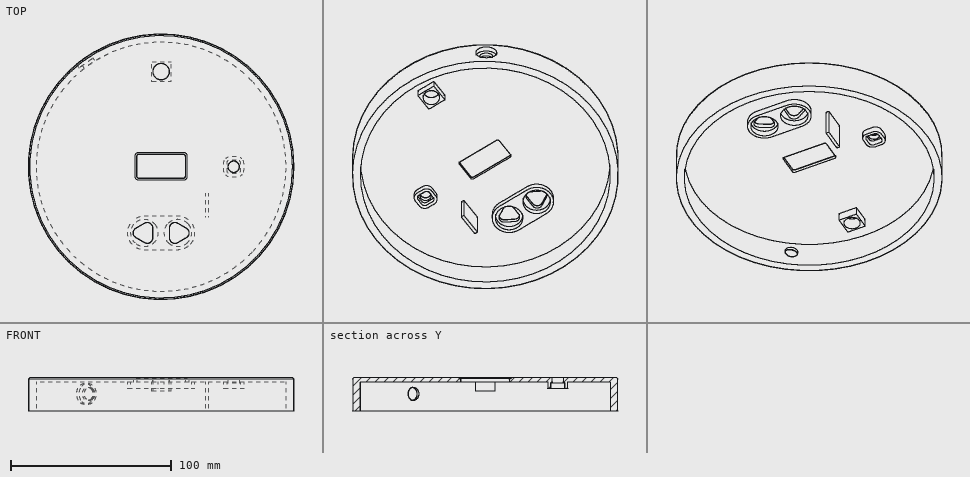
import cadquery as cq
import math

diameter = 165.0
height = 21.0
plate_thickness = 3.0
rim_thickness = 5.0
top_chamfer = 1.0
plate_underside = height - plate_thickness

boss_wall = 2.0

window_length = 30.0
window_width = 14.8
window_y = 0.3
window_corner_radius = 1.24
ledge_width = 1.2
ledge_depth = 0.7
ledge_corner_radius = 2.1

large_hole_diameter = 10.0
large_hole_y = 59.0
large_boss_side = 12.0
large_boss_bottom = 12.4

small_hole_diameter = 7.0
small_hole_x = 45.0
small_hole_depth = 3.5
small_recess_side = 8.5
small_boss_height = 4.0
small_recess_corner_radius = 2.1

triangle_corner_radius = 3.3
triangle_centre_spacing = 6.3
triangle_base_x = 5.3
triangle_y = -41.1
triangle_recess_diameter = 17.0
triangle_boss_height = 4.0
triangle_height = triangle_centre_spacing * math.sqrt(3) / 2
triangle_centroid_x = triangle_base_x + triangle_corner_radius + triangle_height / 3

rib_x = 27.5
rib_thickness = 2.0
rib_length = 14.8
rib_y = -24.0

side_hole_angle = 125.0
side_hole_z = 10.7
side_hole_diameter = 8.1
counterbore_diameter = 13.0
counterbore_depth = 3.0


def cylinder(x, y, bottom, top, width):
    return cq.Workplane("XY", origin=(x, y, bottom)).circle(width / 2).extrude(top - bottom)


def rounded_block(x, y, bottom, top, length, width, corner_radius):
    block = cq.Workplane("XY", origin=(x, y, bottom)).rect(length, width).extrude(top - bottom)
    return block.edges("|Z").fillet(corner_radius)


def cover():
    body = cylinder(0, 0, 0, height, diameter).faces(">Z").chamfer(top_chamfer)
    return body.cut(cylinder(0, 0, 0, plate_underside, diameter - 2 * rim_thickness))


def rib():
    return (
        cq.Workplane("XY", origin=(rib_x + rib_thickness / 2, rib_y, 0))
        .rect(rib_thickness, rib_length)
        .extrude(plate_underside)
    )


def window():
    opening = rounded_block(
        0, window_y, plate_underside, height, window_length, window_width, window_corner_radius
    )
    ledge = rounded_block(
        0,
        window_y,
        height - ledge_depth,
        height,
        window_length + 2 * ledge_width,
        window_width + 2 * ledge_width,
        ledge_corner_radius,
    )
    return opening.union(ledge)


def large_hole_boss():
    boss_height = plate_underside - large_boss_bottom
    return (
        cq.Workplane("XY", origin=(0, large_hole_y, large_boss_bottom))
        .rect(large_boss_side, large_boss_side)
        .extrude(boss_height)
    )


def large_hole():
    return cylinder(0, large_hole_y, large_boss_bottom, height, large_hole_diameter)


def small_hole_boss():
    side = small_recess_side + 2 * boss_wall
    bottom = plate_underside - small_boss_height
    corner_radius = small_recess_corner_radius + boss_wall
    return rounded_block(small_hole_x, 0, bottom, plate_underside, side, side, corner_radius)


def small_hole():
    bottom = plate_underside - small_boss_height
    recess = rounded_block(
        small_hole_x,
        0,
        bottom,
        height - small_hole_depth,
        small_recess_side,
        small_recess_side,
        small_recess_corner_radius,
    )
    return recess.union(cylinder(small_hole_x, 0, bottom, height, small_hole_diameter))


def triangle_boss():
    width = triangle_recess_diameter + 2 * boss_wall
    return (
        cq.Workplane("XY", origin=(0, triangle_y, plate_underside - triangle_boss_height))
        .slot2D(2 * triangle_centroid_x + width, width)
        .extrude(triangle_boss_height)
    )


def triangular_hole(side):
    """Hole pointing to +X (side = 1) or -X (side = -1), with the recess centred below it."""
    base_x = triangle_base_x + triangle_corner_radius
    half_spacing = triangle_centre_spacing / 2
    corner_centres = [
        (side * base_x, triangle_y - half_spacing),
        (side * base_x, triangle_y + half_spacing),
        (side * (base_x + triangle_height), triangle_y),
    ]
    hole = (
        cq.Workplane("XY", origin=(0, 0, plate_underside))
        .polyline(corner_centres)
        .close()
        .offset2D(triangle_corner_radius)
        .extrude(plate_thickness)
    )
    recess = cylinder(
        side * triangle_centroid_x,
        triangle_y,
        plate_underside - triangle_boss_height,
        plate_underside,
        triangle_recess_diameter,
    )
    return hole.union(recess)


def side_hole():
    angle = math.radians(side_hole_angle)
    outward = cq.Vector(math.cos(angle), math.sin(angle), 0)
    start = outward * (diameter / 2) + cq.Vector(0, 0, side_hole_z)
    bore = cq.Solid.makeCylinder(side_hole_diameter / 2, 2 * rim_thickness, start, -outward)
    counterbore = cq.Solid.makeCylinder(counterbore_diameter / 2, counterbore_depth, start, -outward)
    return cq.Workplane(bore.fuse(counterbore))


result = cover().union(rib())
result = result.union(large_hole_boss())
result = result.union(small_hole_boss())
result = result.union(triangle_boss())
result = result.cut(window())
result = result.cut(large_hole())
result = result.cut(small_hole())
for side in (-1, 1):
    result = result.cut(triangular_hole(side))
result = result.cut(side_hole())